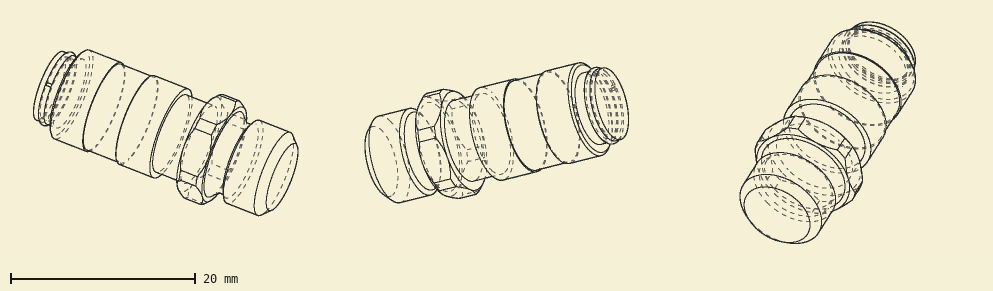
import cadquery as cq
import math

TOTAL_LENGTH = 28.05

STUB_DIA = 8.0

WIRE_DIA = 0.67
RING_OUTER_DIA = 8.53
RING_X = 0.95
RING_GAP = 0.35
RING_GAP_ANGLE = 33.4

SLEEVE_DIA = 10.35
SLEEVE_START = 2.4
SLEEVE_CHAMFER_LENGTH = 0.25
SLEEVE_FACE_DIA = 9.73
BAND_DIA = 10.0
BAND_START = 6.54
BAND_END = 10.52
SLEEVE_END = 14.65

NECK_DIA = 9.0

HEX_START = 18.05
HEX_END = 21.07
HEX_FLATS = 11.0
HEX_CORNER_DIA = 12.0
HEX_CORNER_ANGLE = 44.2

UNDERCUT_DIA = 8.15
UNDERCUT_RADIUS = 1.0
UNDERCUT_X = 22.35
UNDERCUT_END = 23.03

SPIGOT_DIA = 9.68
SPIGOT_START = 23.35
SPIGOT_CHAMFER_START = 27.07
SPIGOT_FACE_DIA = 7.8

ring_pitch_radius = (RING_OUTER_DIA - WIRE_DIA) / 2


def revolve_about_x(profile):
    return profile.close().revolve(360, (0, 0, 0), (1, 0, 0))


def make_turned_body():
    groove_radius = ring_pitch_radius - WIRE_DIA / 2
    groove_start = RING_X - WIRE_DIA / 2
    groove_end = RING_X + WIRE_DIA / 2

    arc_center_radius = UNDERCUT_DIA / 2 + UNDERCUT_RADIUS
    half_chord = UNDERCUT_RADIUS * math.sin(math.radians(45))
    arc_start_x = UNDERCUT_X - half_chord
    arc_start_radius = arc_center_radius - half_chord
    cone_start_radius = arc_start_radius + (arc_start_x - HEX_END)
    arc_end_offset = UNDERCUT_END - UNDERCUT_X
    arc_end_radius = arc_center_radius - math.sqrt(UNDERCUT_RADIUS**2 - arc_end_offset**2)

    profile = (
        cq.Workplane("XY")
        .lineTo(0, STUB_DIA / 2)
        .lineTo(groove_start, STUB_DIA / 2)
        .lineTo(groove_start, groove_radius)
        .lineTo(groove_end, groove_radius)
        .lineTo(groove_end, STUB_DIA / 2)
        .lineTo(SLEEVE_START, STUB_DIA / 2)
        .lineTo(SLEEVE_START, SLEEVE_FACE_DIA / 2)
        .lineTo(SLEEVE_START + SLEEVE_CHAMFER_LENGTH, SLEEVE_DIA / 2)
        .lineTo(BAND_START, SLEEVE_DIA / 2)
        .lineTo(BAND_START, BAND_DIA / 2)
        .lineTo(BAND_END, BAND_DIA / 2)
        .lineTo(BAND_END, SLEEVE_DIA / 2)
        .lineTo(SLEEVE_END, SLEEVE_DIA / 2)
        .lineTo(SLEEVE_END, NECK_DIA / 2)
        .lineTo(HEX_END, NECK_DIA / 2)
        .lineTo(HEX_END, cone_start_radius)
        .lineTo(arc_start_x, arc_start_radius)
        .threePointArc((UNDERCUT_X, UNDERCUT_DIA / 2), (UNDERCUT_END, arc_end_radius))
        .lineTo(SPIGOT_START, SPIGOT_DIA / 2)
        .lineTo(SPIGOT_CHAMFER_START, SPIGOT_DIA / 2)
        .lineTo(TOTAL_LENGTH, SPIGOT_FACE_DIA / 2)
        .lineTo(TOTAL_LENGTH, 0)
    )
    return revolve_about_x(profile)


def make_hexagon():
    sharp_corner_dia = HEX_FLATS / math.cos(math.radians(30))
    prism = (
        cq.Workplane("YZ", origin=(HEX_START, 0, 0))
        .polygon(6, sharp_corner_dia)
        .extrude(HEX_END - HEX_START)
        .rotate((0, 0, 0), (1, 0, 0), HEX_CORNER_ANGLE)
    )
    chamfer = (HEX_CORNER_DIA - HEX_FLATS) / 2
    corner_envelope = (
        cq.Workplane("YZ", origin=(HEX_START, 0, 0))
        .circle(HEX_CORNER_DIA / 2)
        .extrude(HEX_END - HEX_START)
        .edges()
        .chamfer(chamfer)
    )
    return prism.intersect(corner_envelope)


def make_coupling():
    return make_turned_body().union(make_hexagon())


def make_snap_ring():
    wire = cq.Workplane("XY").center(RING_X, ring_pitch_radius).circle(WIRE_DIA / 2)
    ring = wire.revolve(360, (-RING_X, -ring_pitch_radius, 0), (0.28 - RING_X, -ring_pitch_radius, 0))
    gap = (
        cq.Workplane("XY")
        .box(2 * WIRE_DIA, RING_GAP, 2 * WIRE_DIA)
        .translate((RING_X, 0, ring_pitch_radius))
        .rotate((0, 0, 0), (1, 0, 0), RING_GAP_ANGLE)
    )
    return ring.cut(gap)


coupling = make_coupling()
snap_ring = make_snap_ring()

result = cq.Compound.makeCompound([coupling.val(), snap_ring.val()])